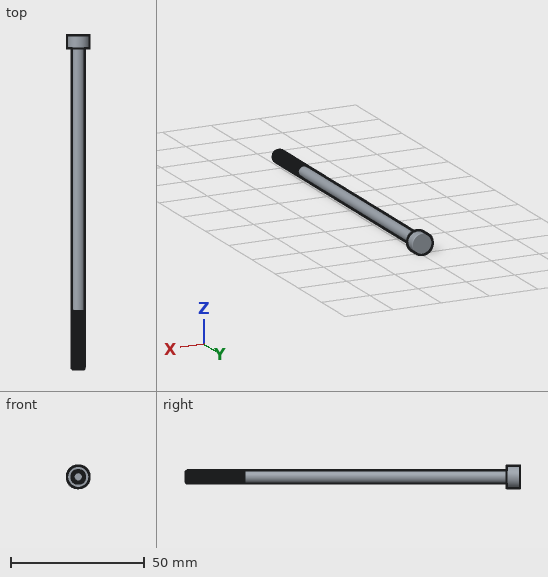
import cadquery as cq
import math

NOMINAL_DIAMETER = 5.0
PITCH = 0.8
SHANK_LENGTH = 120.0
THREAD_LENGTH = 22.0
TIP_CHAMFER = 0.7
HEAD_DIAMETER = 8.5
HEAD_HEIGHT = NOMINAL_DIAMETER
HEAD_FILLET = 0.3

NOMINAL_RADIUS = NOMINAL_DIAMETER / 2
HEAD_RADIUS = HEAD_DIAMETER / 2
PLAIN_LENGTH = SHANK_LENGTH - THREAD_LENGTH

FLANK_HALF_ANGLE = math.radians(30)
CREST_FLAT = PITCH / 8
ROOT_FLAT = PITCH / 4
FLANK_WIDTH = (PITCH - CREST_FLAT - ROOT_FLAT) / 2
THREAD_DEPTH = FLANK_WIDTH / math.tan(FLANK_HALF_ANGLE)
ROOT_RADIUS = NOMINAL_RADIUS - THREAD_DEPTH

SPIRAL_STEPS = 8

SEGMENT_COUNT = 5
SEGMENT_LENGTH = THREAD_LENGTH / SEGMENT_COUNT
SEGMENT_TWIST = 360 * SEGMENT_LENGTH / PITCH

CUTTER_OVERREACH = 0.5


def make_head():
    """Round head with both rims filleted."""
    head = cq.Workplane("XZ").circle(HEAD_RADIUS).extrude(-HEAD_HEIGHT)
    return head.edges().fillet(HEAD_FILLET)


def make_plain_shank():
    """Unthreaded shank from the head down to the start of the thread."""
    return cq.Workplane("XZ").circle(NOMINAL_RADIUS).extrude(PLAIN_LENGTH)


def polar_point(radius, angle):
    """Point at a radius and an angle in radians around the screw axis."""
    return (radius * math.cos(angle), radius * math.sin(angle))


def make_thread_section():
    """Cross-section of the thread, square to the screw axis.

    One turn of the thread advances one pitch, so each axial width of the thread
    form becomes an angle: a crest arc and a root arc joined by two spirals.
    """
    half_crest = math.pi * CREST_FLAT / PITCH
    half_root = math.pi * ROOT_FLAT / PITCH
    flank_angle = math.pi - half_crest - half_root

    def spiral(start_radius, end_radius, start_angle):
        """Points along a flank whose radius changes evenly with angle."""
        steps = [i / SPIRAL_STEPS for i in range(SPIRAL_STEPS + 1)]
        return [
            polar_point(start_radius + (end_radius - start_radius) * t, start_angle + flank_angle * t)
            for t in steps
        ]

    falling_flank = spiral(NOMINAL_RADIUS, ROOT_RADIUS, half_crest)
    rising_flank = spiral(ROOT_RADIUS, NOMINAL_RADIUS, math.pi + half_root)
    return (
        cq.Workplane("XZ", origin=(0, -PLAIN_LENGTH, 0))
        .moveTo(*rising_flank[-1])
        .threePointArc((NOMINAL_RADIUS, 0), falling_flank[0])
        .spline(falling_flank[1:], includeCurrent=True)
        .threePointArc((-ROOT_RADIUS, 0), rising_flank[0])
        .spline(rising_flank[1:], includeCurrent=True)
        .close()
        .wire()
    )


def make_thread_segment(index):
    """One twisted length of thread, turned and moved to continue the segments above it."""
    segment = make_thread_section().twistExtrude(SEGMENT_LENGTH, SEGMENT_TWIST)
    turned = segment.rotate((0, 0, 0), (0, -1, 0), SEGMENT_TWIST * index)
    return turned.translate((0, -SEGMENT_LENGTH * index, 0))


def make_tip_chamfer_cutter():
    """Ring with a 45 degree inner cone that bevels the tip."""
    tip_radius = NOMINAL_RADIUS - TIP_CHAMFER
    reach = TIP_CHAMFER + CUTTER_OVERREACH
    return (
        cq.Workplane("XY")
        .moveTo(tip_radius - CUTTER_OVERREACH, -SHANK_LENGTH - CUTTER_OVERREACH)
        .lineTo(tip_radius + reach, -SHANK_LENGTH - CUTTER_OVERREACH)
        .lineTo(tip_radius + reach, -SHANK_LENGTH + reach)
        .close()
        .revolve(360, (0, 0, 0), (0, 1, 0))
    )


def make_screw():
    """Blank and thread segments joined end to end into one closed skin.

    The flat sections where two segments meet lie inside the screw and are left out.
    """
    blank = make_head().union(make_plain_shank())
    segments = [make_thread_segment(index) for index in range(SEGMENT_COUNT)]
    segments[0] = blank.union(segments[0], clean=False)
    segments[-1] = segments[-1].cut(make_tip_chamfer_cutter(), clean=False)

    skin = segments[0].faces("not <Y").vals()
    for segment in segments[1:-1]:
        skin += segment.faces("not |Y").vals()
    skin += segments[-1].faces("not >Y").vals()
    return cq.Workplane(cq.Solid.makeSolid(cq.Shell.makeShell(skin)))


result = make_screw()